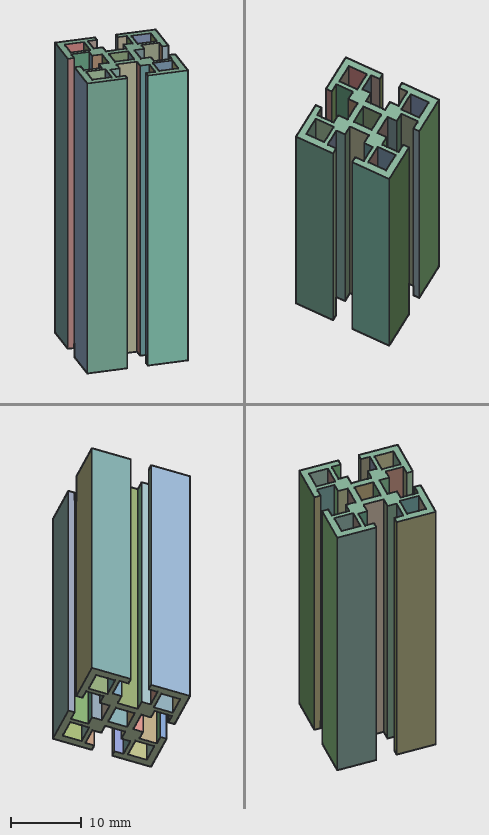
import cadquery as cq

length = 45.0
side = 15.0

mouth_width = 3.05
undercut_width = 5.8
lip_thickness = 0.95
undercut_depth = 3.6
slot_depth = 5.1

bore_size = 2.9
corner_bore_wall = 1.1

face_offset = side / 2
corner_bore_offset = face_offset - corner_bore_wall - bore_size / 2


def slot_cutter():
    """Full-length T-slot cutter for the +X side."""
    mouth = (
        cq.Workplane("XY")
        .center(face_offset - slot_depth / 2, 0)
        .rect(slot_depth, mouth_width)
        .extrude(length)
    )
    undercut_height = undercut_depth - lip_thickness
    undercut = (
        cq.Workplane("XY")
        .center(face_offset - lip_thickness - undercut_height / 2, 0)
        .rect(undercut_height, undercut_width)
        .extrude(length)
    )
    return mouth.union(undercut)


def bore_cutters():
    """Square through bores in the core and the four corners."""
    corners = [
        (x_sign * corner_bore_offset, y_sign * corner_bore_offset)
        for x_sign in (-1, 1)
        for y_sign in (-1, 1)
    ]
    return (
        cq.Workplane("XY")
        .pushPoints([(0, 0)] + corners)
        .rect(bore_size, bore_size)
        .extrude(length)
    )


profile = cq.Workplane("XY").rect(side, side).extrude(length)
for angle in (0, 90, 180, 270):
    profile = profile.cut(slot_cutter().rotate((0, 0, 0), (0, 0, 1), angle))

result = profile.cut(bore_cutters())